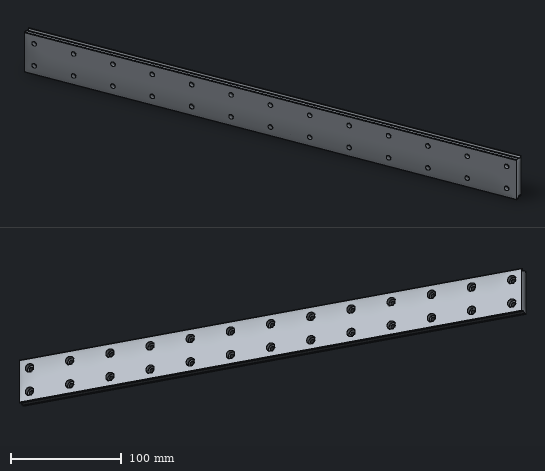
import cadquery as cq
import math

rail_length = 500.0
rail_thickness = 9.5
rail_width = 42.0
edge_chamfer = 0.5

hole_columns = 13
hole_pitch = 40.0
row_spacing = 23.0
hole_diameter = 4.5
counterbore_diameter = 8.0
counterbore_depth = 4.5

raceway_center_y = 2.05
wall_depth = 0.15
upper_radius = 1.3
lower_radius = 1.5
lower_arc_angle = 48.0
relief_knee_y = -0.7
relief_knee_depth = 0.55
relief_end_y = -1.65

half_width = rail_width / 2
cutter_clearance = 1.0


def arc_point(radius, floor_depth, angle):
    """Point (y, depth) on a raceway arc; the angle is from its floor, positive toward -Y."""
    turn = math.radians(angle)
    y = raceway_center_y - radius * math.sin(turn)
    depth = floor_depth - radius * (1 - math.cos(turn))
    return y, depth


def raceway_cutter(side):
    """Full-length cutter for one raceway; side is +1 for the +Z edge and -1 for the -Z edge."""

    def place(point):
        y, depth = point
        return y, side * (half_width - depth)

    floor_depth = wall_depth + upper_radius
    lip_y = raceway_center_y + upper_radius
    outline = (
        cq.Workplane("YZ")
        .moveTo(*place((lip_y, -cutter_clearance)))
        .lineTo(*place((lip_y, wall_depth)))
        .threePointArc(
            place(arc_point(upper_radius, floor_depth, -45)),
            place((raceway_center_y, floor_depth)),
        )
        .threePointArc(
            place(arc_point(lower_radius, floor_depth, lower_arc_angle / 2)),
            place(arc_point(lower_radius, floor_depth, lower_arc_angle)),
        )
        .lineTo(*place((relief_knee_y, relief_knee_depth)))
        .lineTo(*place((relief_end_y, 0)))
        .lineTo(*place((relief_end_y, -cutter_clearance)))
        .close()
    )
    return outline.extrude(rail_length / 2, both=True)


def rail_body():
    """Bar with its four long edges chamfered."""
    bar = cq.Workplane("XY").box(rail_length, rail_thickness, rail_width)
    return bar.edges("|X").chamfer(edge_chamfer)


def drill_mounting_holes(body):
    """Two rows of counterbored through holes, entered from the +Y face."""
    return (
        body.faces(">Y")
        .workplane(centerOption="CenterOfBoundBox")
        .rarray(hole_pitch, row_spacing, hole_columns, 2)
        .cboreHole(hole_diameter, counterbore_diameter, counterbore_depth)
    )


rail = rail_body()
for side in (1, -1):
    rail = rail.cut(raceway_cutter(side))

result = drill_mounting_holes(rail)